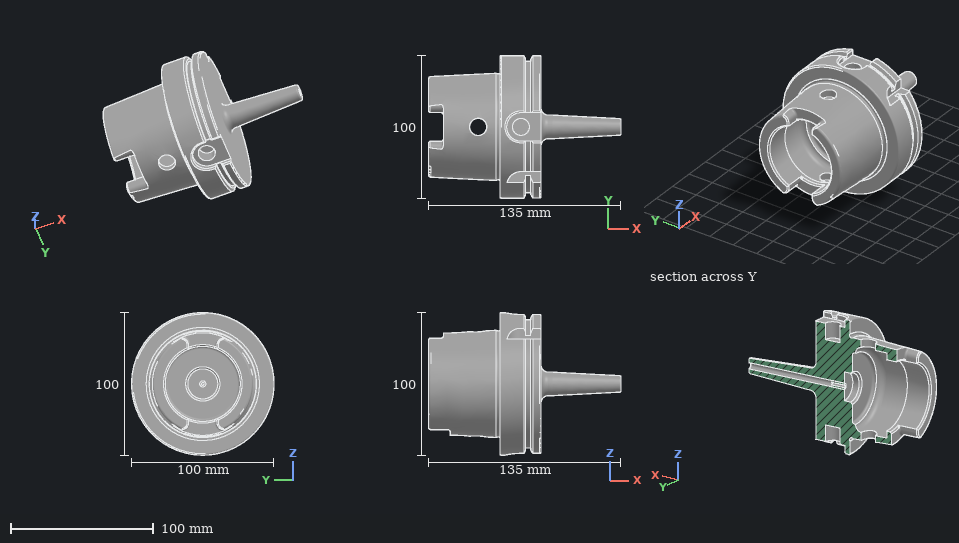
import cadquery as cq
import math

total_length = 135.0
flange_start = 50.0
flange_end = 79.0
taper_end = 47.2
neck_start = 48.6

taper_slope = 0.05
taper_end_radius = 37.7
neck_radius = 37.3
neck_fillet = 1.0
shank_rim_fillet = 1.8
face_recess_radius = 39.7
face_recess_depth = 0.3

flange_radius = 100.0 / 2
flange_fillet = 1.1

groove_floor_start = 68.0
groove_floor_end = 71.5
groove_floor_radius = 46.2
groove_left_mouth = 66.8
groove_right_mouth = 73.2
groove_flank_angle = 30.0

stem_radius = 8.4
stem_root_fillet = 4.9
stem_straight_length = 3.2
stem_taper_angle = 3.0
stem_tip_fillet = 1.2

bore_radius = 26.3
bore_mouth_chamfer = 1.2
undercut_radius = 31.5
undercut_start = 19.5
undercut_end = 40.2
undercut_fillet = undercut_radius - bore_radius
seat_start = undercut_end + undercut_fillet
seat_depth = 2.7
seat_fillet = 1.9
bore_depth = seat_start + seat_depth
recess_radius = 10.5
recess_depth = 6.8
recess_chamfer = 1.5
axial_bore_radius = 2.2

hole_radius = 6.0
shank_hole_x = 34.8

drive_slot_half_width = 10.0
drive_slot_shoulder = 32.1
drive_slot_edge_radius = 4.9
upper_slot_depth = 10.4
lower_slot_depth = 15.1
slot_floor_fillet = 1.6
slot_mouth_bevel = 1.0

keyway_end_x = 64.8
keyway_radius = 10.0
keyway_floor = 44.0
keyway_chamfer = 1.2
keyway_hole_depth = 12.2
notch_corner = 31.3

screw_length = 10.8
screw_hole_radius = 0.8


def revolve_about_x(sketch):
    """Close a half profile drawn in the XY plane and turn it about the X axis."""
    return sketch.close().revolve(360, (0, 0, 0), (1, 0, 0))


def make_shank():
    """Solid taper shank with its relieved neck, running into the face recess of the flange."""
    rim_radius = taper_end_radius - taper_slope * taper_end
    recess_floor = flange_start + face_recess_depth
    shank = revolve_about_x(
        cq.Workplane("XY")
        .lineTo(0, rim_radius)
        .lineTo(taper_end, taper_end_radius)
        .lineTo(neck_start, neck_radius)
        .lineTo(recess_floor - neck_fillet, neck_radius)
        .radiusArc((recess_floor, neck_radius + neck_fillet), -neck_fillet)
        .lineTo(recess_floor, 0)
    )
    return shank.faces("<X").edges().fillet(shank_rim_fillet)


def cut_keyway(blank):
    """Cut one round-ended keyway into the top of the blank, bevel its edge and drill its floor."""
    keyway = (
        cq.Workplane("XY", origin=(0, 0, keyway_floor))
        .moveTo(keyway_end_x, keyway_radius)
        .threePointArc((keyway_end_x - keyway_radius, 0), (keyway_end_x, -keyway_radius))
        .lineTo(total_length, -keyway_radius)
        .lineTo(total_length, keyway_radius)
        .close()
        .extrude(flange_radius)
    )
    hole = (
        cq.Workplane("XY", origin=(keyway_end_x, 0, keyway_floor))
        .circle(hole_radius)
        .extrude(-keyway_hole_depth)
    )
    edge_height = math.sqrt(flange_radius**2 - keyway_radius**2)
    rim_zone = cq.selectors.BoxSelector(
        (0, -2 * keyway_radius, edge_height - keyway_chamfer),
        (total_length - keyway_chamfer, 2 * keyway_radius, flange_radius),
    )
    return blank.cut(keyway).edges(rim_zone).chamfer(keyway_chamfer).cut(hole)


def make_flange():
    """Flange disc with rounded rims, face recess and two opposite keyways with bevelled edges."""
    blank = cq.Workplane("YZ").circle(flange_radius).extrude(total_length)
    for turn in (0, 180):
        blank = cut_keyway(blank.rotate((0, 0, 0), (1, 0, 0), turn))
    disc = (
        cq.Workplane("YZ", origin=(flange_start, 0, 0))
        .circle(flange_radius)
        .extrude(flange_end - flange_start)
        .edges()
        .fillet(flange_fillet)
    )
    recess = (
        cq.Workplane("YZ", origin=(flange_start, 0, 0))
        .circle(face_recess_radius)
        .extrude(face_recess_depth)
    )
    return blank.intersect(disc).cut(recess)


def make_stem():
    """Slender stem: root fillet, short cylinder, then a taper to the tip."""
    cylinder_start = flange_end + stem_root_fillet
    cone_start = cylinder_start + stem_straight_length
    tip_radius = stem_radius - math.tan(math.radians(stem_taper_angle)) * (total_length - cone_start)
    stem = revolve_about_x(
        cq.Workplane("XY")
        .moveTo(flange_end, 0)
        .lineTo(flange_end, stem_radius + stem_root_fillet)
        .radiusArc((cylinder_start, stem_radius), -stem_root_fillet)
        .lineTo(cone_start, stem_radius)
        .lineTo(total_length, tip_radius)
        .lineTo(total_length, 0)
    )
    return stem.faces(">X").edges().fillet(stem_tip_fillet)


def make_bore():
    """Stepped cavity along the axis, from the open end to the stem tip."""
    recess_floor = bore_depth + recess_depth
    return revolve_about_x(
        cq.Workplane("XY")
        .lineTo(0, bore_radius + bore_mouth_chamfer)
        .lineTo(bore_mouth_chamfer, bore_radius)
        .lineTo(undercut_start, bore_radius)
        .lineTo(undercut_start, undercut_radius)
        .lineTo(undercut_end, undercut_radius)
        .radiusArc((seat_start, bore_radius), undercut_fillet)
        .lineTo(bore_depth - seat_fillet, bore_radius)
        .radiusArc((bore_depth, bore_radius - seat_fillet), seat_fillet)
        .lineTo(bore_depth, recess_radius + recess_chamfer)
        .lineTo(bore_depth + recess_chamfer, recess_radius)
        .lineTo(recess_floor, recess_radius)
        .lineTo(recess_floor, axial_bore_radius)
        .lineTo(total_length, axial_bore_radius)
        .lineTo(total_length, 0)
    )


def make_groove():
    """Ring that leaves the V-flanked groove in the flange rim."""
    steepness = 1 / math.tan(math.radians(groove_flank_angle))
    left_drop = (groove_floor_start - groove_left_mouth) * steepness
    right_drop = (groove_right_mouth - groove_floor_end) * steepness
    clear_radius = 1.1 * flange_radius
    return revolve_about_x(
        cq.Workplane("XY")
        .moveTo(groove_left_mouth, clear_radius)
        .lineTo(groove_left_mouth, flange_radius)
        .lineTo(groove_floor_start, flange_radius - left_drop)
        .lineTo(groove_floor_start, groove_floor_radius)
        .lineTo(groove_floor_end, groove_floor_radius)
        .lineTo(groove_floor_end, flange_radius - right_drop)
        .lineTo(groove_right_mouth, flange_radius)
        .lineTo(groove_right_mouth, clear_radius)
    )


def drive_slot_outline(margin):
    """Closed outline of a drive slot, its walls and shoulders moved outward by margin."""
    reach = flange_radius
    half_width = drive_slot_half_width + margin
    shoulder_z = drive_slot_shoulder - margin
    edge_radius = drive_slot_edge_radius - margin
    arc_start_z = shoulder_z - edge_radius
    shoulder_y = half_width + edge_radius
    return (
        cq.Workplane("YZ")
        .moveTo(-half_width, 0)
        .lineTo(-half_width, arc_start_z)
        .radiusArc((-shoulder_y, shoulder_z), -edge_radius)
        .lineTo(-reach, shoulder_z)
        .lineTo(-reach, reach)
        .lineTo(reach, reach)
        .lineTo(reach, shoulder_z)
        .lineTo(shoulder_y, shoulder_z)
        .radiusArc((half_width, arc_start_z), -edge_radius)
        .lineTo(half_width, 0)
        .close()
    )


def make_drive_slot(depth):
    """Slot across the upper shank wall with rounded outer edges and a bevelled mouth and floor."""
    slot = drive_slot_outline(0).extrude(depth).faces(">X").edges().fillet(slot_floor_fillet)
    mouth = drive_slot_outline(slot_mouth_bevel).extrude(slot_mouth_bevel, taper=45)
    floor_bevel = revolve_about_x(
        cq.Workplane("XY")
        .moveTo(depth, 0)
        .lineTo(depth, bore_radius + bore_mouth_chamfer)
        .lineTo(depth + bore_mouth_chamfer, bore_radius)
        .lineTo(depth + bore_mouth_chamfer, 0)
    )
    slot_band = cq.Workplane("XY").box(
        flange_start, 2 * drive_slot_half_width, flange_radius, centered=(False, True, False)
    )
    return slot.union(mouth).union(floor_bevel.intersect(slot_band))


def make_index_notch():
    """Corner notch at 45 degrees, its inner end rounded about Z."""
    return (
        cq.Workplane("XY", origin=(0, 0, notch_corner))
        .moveTo(flange_end, -notch_corner)
        .lineTo(keyway_end_x, -notch_corner)
        .radiusArc((keyway_end_x - keyway_radius, -notch_corner - keyway_radius), -keyway_radius)
        .lineTo(keyway_end_x - keyway_radius, -flange_radius)
        .lineTo(flange_end, -flange_radius)
        .close()
        .extrude(flange_radius)
    )


def make_holder():
    """Tool holder: turned body with all its cavities, slots and holes."""
    body = make_flange().union(make_shank()).union(make_stem())
    body = body.cut(make_groove()).cut(make_bore()).cut(make_index_notch())
    body = body.cut(make_drive_slot(upper_slot_depth))
    body = body.cut(make_drive_slot(lower_slot_depth).rotate((0, 0, 0), (1, 0, 0), 180))
    hole = (
        cq.Workplane("XY", origin=(shank_hole_x, 0, 0))
        .circle(hole_radius)
        .extrude(flange_radius, both=True)
    )
    return body.cut(hole)


def make_stop_screw():
    """Drilled plug at the start of the axial bore."""
    return (
        cq.Workplane("YZ", origin=(bore_depth + recess_depth, 0, 0))
        .circle(axial_bore_radius)
        .circle(screw_hole_radius)
        .extrude(screw_length)
    )


holder = make_holder()
stop_screw = make_stop_screw()
result = cq.Compound.makeCompound([holder.val(), stop_screw.val()])